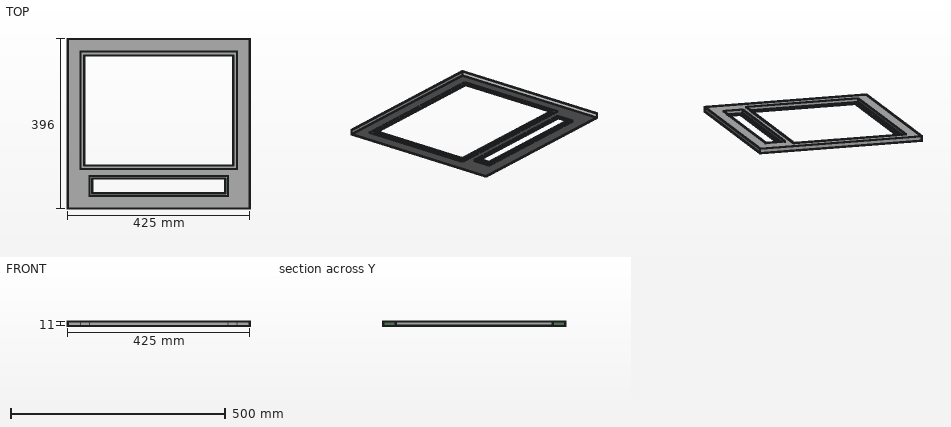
import cadquery as cq

plate_width = 425.0
plate_depth = 396.0
plate_thickness = 11.0
edge_margin = 29.8

lip_thickness = 2.0

large_width = plate_width - 2 * edge_margin
large_depth = 274.0
large_ledge = 9.0

small_width = 323.5
small_depth = 47.0
small_ledge = 7.0

large_center_y = plate_depth / 2 - edge_margin - large_depth / 2
small_center_y = -plate_depth / 2 + edge_margin + small_depth / 2


def stepped_window(width, depth, ledge, center_y):
    """Cutter for a recess with a smaller opening through its floor."""
    recess = (
        cq.Workplane("XY", origin=(0, center_y, lip_thickness))
        .rect(width, depth)
        .extrude(plate_thickness - lip_thickness)
    )
    opening = (
        cq.Workplane("XY", origin=(0, center_y, 0))
        .rect(width - 2 * ledge, depth - 2 * ledge)
        .extrude(plate_thickness)
    )
    return recess.union(opening)


plate = cq.Workplane("XY").rect(plate_width, plate_depth).extrude(plate_thickness)
large_window = stepped_window(large_width, large_depth, large_ledge, large_center_y)
small_window = stepped_window(small_width, small_depth, small_ledge, small_center_y)

result = plate.cut(large_window).cut(small_window)